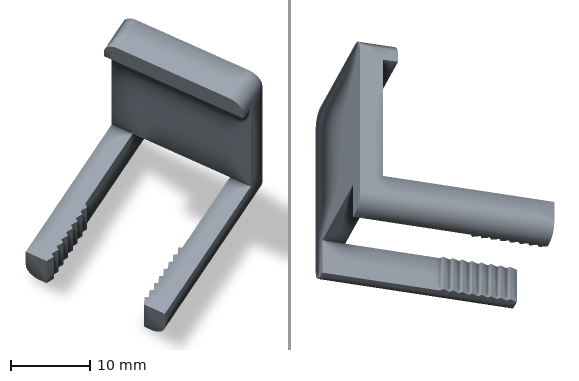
import cadquery as cq

width = 20.0
length = 25.5
height = 25.0

thickness = 3.0
lip_depth = 5.0
arm_height = 4.8
corner_radius = 2.0

tooth_count = 8
tooth_pitch = 1.25
tooth_depth = 0.45
tip_extension = 0.08
tooth_peak_offset = 0.3


def make_bracket():
    """Side profile across the full width, with its four outer corners rounded."""
    profile = [
        (0, 0),
        (length, 0),
        (length, height),
        (length - lip_depth, height),
        (length - lip_depth, height - thickness),
        (length - thickness, height - thickness),
        (length - thickness, arm_height),
        (0, arm_height),
    ]
    body = cq.Workplane("YZ").polyline(profile).close().extrude(width / 2, both=True)
    rounded_block = (
        cq.Workplane("XY")
        .box(width, length, height, centered=(True, False, False))
        .edges("|Y")
        .fillet(corner_radius)
    )
    return body.intersect(rounded_block)


def make_arm_gap():
    """Opening that splits the base into two arms and runs out through the back."""
    gap_width = width - 2 * thickness
    return cq.Workplane("XY").box(gap_width, length, arm_height, centered=(True, False, False))


def make_teeth():
    """Saw teeth on the left arm, from the arm tip towards the wall."""
    arm_face = -width / 2 + thickness
    root = arm_face - (thickness - corner_radius) / 2
    points = [(root, 0), (arm_face, 0)]
    for index in range(tooth_count):
        rear = tip_extension + (index + 1) * tooth_pitch
        points.append((arm_face + tooth_depth, rear - tooth_peak_offset))
        points.append((arm_face, rear))
    points.append((root, rear))
    return cq.Workplane("XY").polyline(points).close().extrude(arm_height)


left_teeth = make_teeth()
right_teeth = left_teeth.mirror("YZ")
result = make_bracket().cut(make_arm_gap()).union(left_teeth).union(right_teeth)